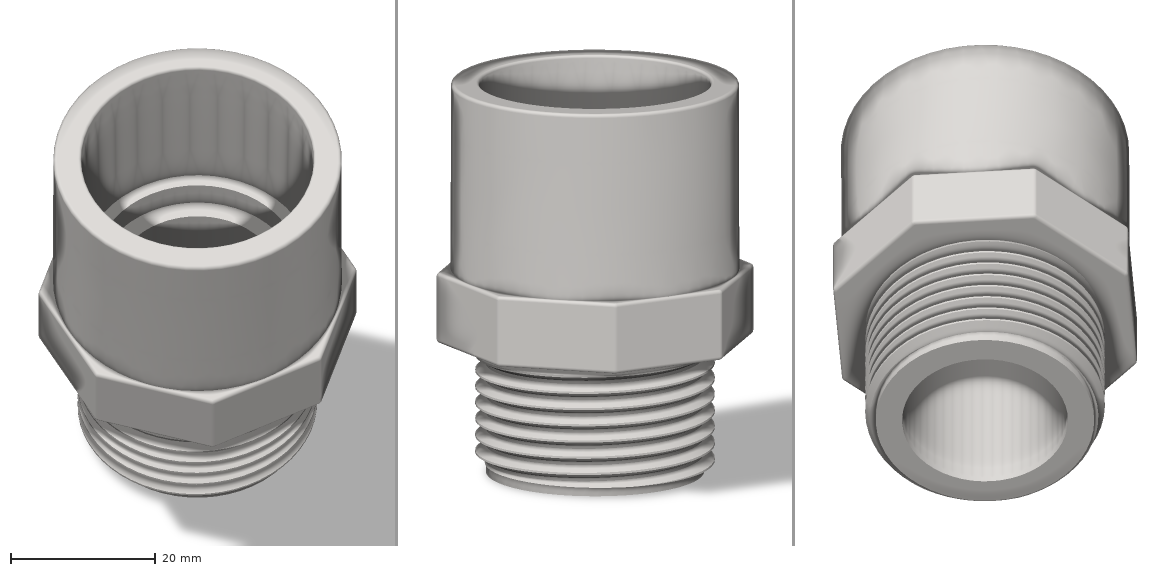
import cadquery as cq
import math

thread_end_length = 19.0
nut_height = 10.0
total_height = 55.5
nut_top = thread_end_length + nut_height

nut_sides = 8
nut_across_flats = 41.0
nut_corner_fillet = 0.7
nut_rim_fillet = 0.5

spigot_base_radius = 20.05
spigot_top_radius = 20.0
spigot_rim_fillet = 0.5
socket_depth = 22.8
socket_mouth_radius = 16.15
socket_floor_radius = 15.85
socket_rim_fillet = 0.4
socket_floor = total_height - socket_depth

passage_diameter = 23.0
counterbore_diameter = 28.0

thread_pitch = 2.309
thread_major_radius = 33.249 / 2
thread_root_radius = 30.291 / 2
thread_flank_angle = math.radians(55.0 / 2)
thread_crest_width = 0.3
thread_start = 1.5
thread_crest_height = 2.87
thread_overlap = 0.1


def cylinder(radius, bottom, top):
    return cq.Workplane("XY").workplane(offset=bottom).circle(radius).extrude(top - bottom)


def revolved(profile):
    """Full turn about Z of a closed (radius, height) outline."""
    return cq.Workplane("XZ").polyline(profile).close().revolve(360, (0, 0, 0), (0, 1, 0))


def make_nut():
    across_corners = nut_across_flats / math.cos(math.pi / nut_sides)
    nut = (
        cq.Workplane("XY")
        .workplane(offset=thread_end_length)
        .polygon(nut_sides, across_corners)
        .extrude(nut_height)
        .rotate((0, 0, 0), (0, 0, 1), 180 / nut_sides)
    )
    return nut.edges("|Z").fillet(nut_corner_fillet).faces("<Z or >Z").edges().fillet(nut_rim_fillet)


def make_spigot():
    root_height = thread_end_length + nut_height / 2
    profile = [
        (0, root_height),
        (spigot_base_radius, root_height),
        (spigot_base_radius, nut_top),
        (spigot_top_radius, total_height),
        (0, total_height),
    ]
    spigot = revolved(profile)
    return spigot.faces(">Z").edges().fillet(spigot_rim_fillet)


def make_thread():
    """Right-handed ridge, swept over extra turns and trimmed square at both ends."""
    sunk_radius = thread_root_radius - thread_overlap
    half_crest = thread_crest_width / 2
    half_base = half_crest + (thread_major_radius - sunk_radius) * math.tan(thread_flank_angle)
    sweep_start = thread_crest_height - 2 * thread_pitch
    turns = math.ceil((thread_end_length - sweep_start) / thread_pitch) + 1
    path = cq.Wire.makeHelix(
        thread_pitch, turns * thread_pitch, thread_root_radius, center=cq.Vector(0, 0, sweep_start)
    )
    ridge = (
        cq.Workplane("XZ")
        .polyline(
            [
                (sunk_radius, sweep_start - half_base),
                (thread_major_radius, sweep_start - half_crest),
                (thread_major_radius, sweep_start + half_crest),
                (sunk_radius, sweep_start + half_base),
            ]
        )
        .close()
        .sweep(path, isFrenet=True)
    )
    trim = cylinder(2 * thread_major_radius, thread_start, thread_end_length + thread_overlap)
    return ridge.intersect(trim)


def make_passage():
    """Through bore, counterbore and drafted socket as one solid to be removed."""
    profile = [
        (0, 0),
        (passage_diameter / 2, 0),
        (passage_diameter / 2, nut_top),
        (counterbore_diameter / 2, nut_top),
        (counterbore_diameter / 2, socket_floor),
        (socket_floor_radius, socket_floor),
        (socket_mouth_radius, total_height),
        (0, total_height),
    ]
    return revolved(profile)


def round_socket_mouth(part):
    """Fillet the inner, smaller circle of the top rim."""
    mouth_edge = part.faces(">Z").edges("%CIRCLE").edges(cq.selectors.RadiusNthSelector(0))
    return mouth_edge.fillet(socket_rim_fillet)


thread_core = cylinder(thread_root_radius, 0, thread_end_length + thread_overlap)
body = make_nut().union(make_spigot()).union(thread_core)
body = round_socket_mouth(body.cut(make_passage()))
result = body.union(make_thread())